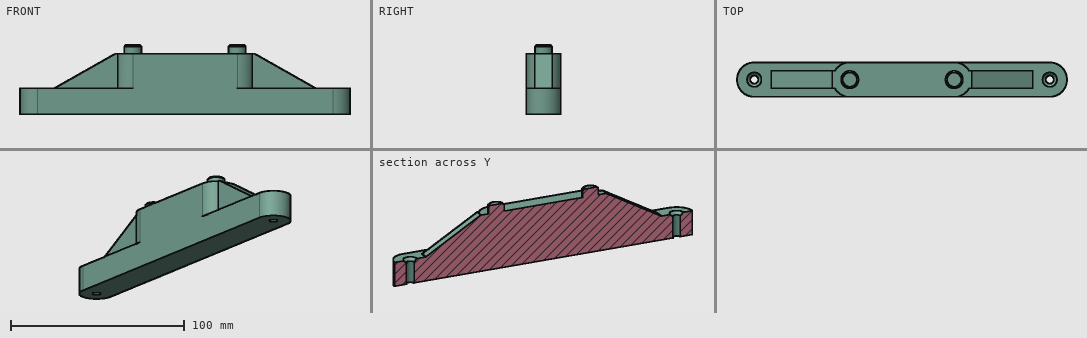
import cadquery as cq

LENGTH = 190.0
WIDTH = 20.0
BASE_HEIGHT = 15.0

BLOCK_TOP = 35.0
PIN_SPACING = 60.0
BLOCK_LENGTH = PIN_SPACING + WIDTH

RIB_WIDTH = 10.0
RIB_FOOT_SPAN = 150.5

PIN_DIAMETER = 10.0
TOTAL_HEIGHT = 39.9
PIN_CHAMFER = 1.0

HOLE_SPACING = LENGTH - WIDTH
HOLE_DIAMETER = 4.5
SINK_DIAMETER = 8.4
SINK_ANGLE = 90


def end_pair(spacing):
    """Points mirrored about the middle of the part along X."""
    return [(-spacing / 2, 0), (spacing / 2, 0)]


def round_ended_bar(length, height):
    return cq.Workplane("XY").slot2D(length, WIDTH).extrude(height)


def ribs():
    """One trapezoid through the block leaves a sloping rib at each end."""
    return (
        cq.Workplane("XZ")
        .moveTo(-RIB_FOOT_SPAN / 2, BASE_HEIGHT)
        .lineTo(-BLOCK_LENGTH / 2, BLOCK_TOP)
        .lineTo(BLOCK_LENGTH / 2, BLOCK_TOP)
        .lineTo(RIB_FOOT_SPAN / 2, BASE_HEIGHT)
        .close()
        .extrude(RIB_WIDTH / 2, both=True)
    )


def pins():
    return (
        cq.Workplane("XY", origin=(0, 0, BLOCK_TOP))
        .pushPoints(end_pair(PIN_SPACING))
        .circle(PIN_DIAMETER / 2)
        .extrude(TOTAL_HEIGHT - BLOCK_TOP)
        .faces(">Z")
        .edges()
        .chamfer(PIN_CHAMFER)
    )


base = round_ended_bar(LENGTH, BASE_HEIGHT)
block = round_ended_bar(BLOCK_LENGTH, BLOCK_TOP)
body = base.union(block).union(ribs()).union(pins())

result = (
    body.copyWorkplane(cq.Workplane("XY", origin=(0, 0, BASE_HEIGHT)))
    .pushPoints(end_pair(HOLE_SPACING))
    .cskHole(HOLE_DIAMETER, SINK_DIAMETER, SINK_ANGLE)
)